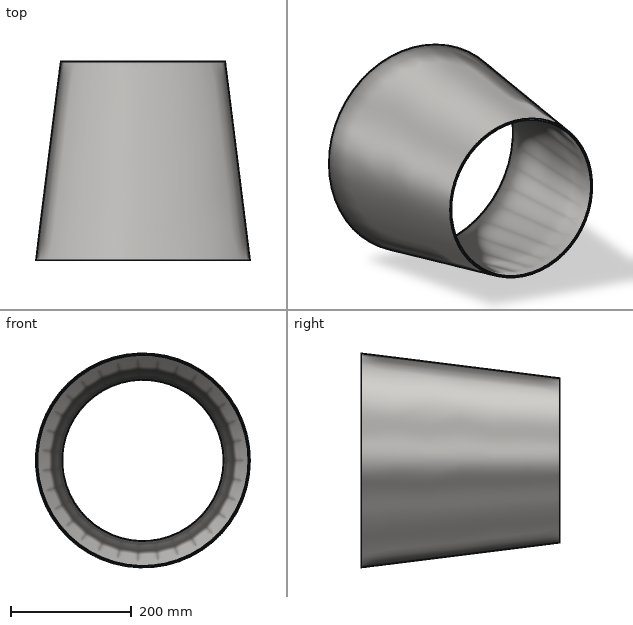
import cadquery as cq

wide_diameter = 355.5
narrow_diameter = 273.0
length = 330.0
wall = 3.0

wide_radius = wide_diameter / 2
narrow_radius = narrow_diameter / 2

wall_section = [
    (wide_radius - wall, 0),
    (wide_radius, 0),
    (narrow_radius, length),
    (narrow_radius - wall, length),
]

result = cq.Workplane("XY").polyline(wall_section).close().revolve(360, (0, 0, 0), (0, 1, 0))